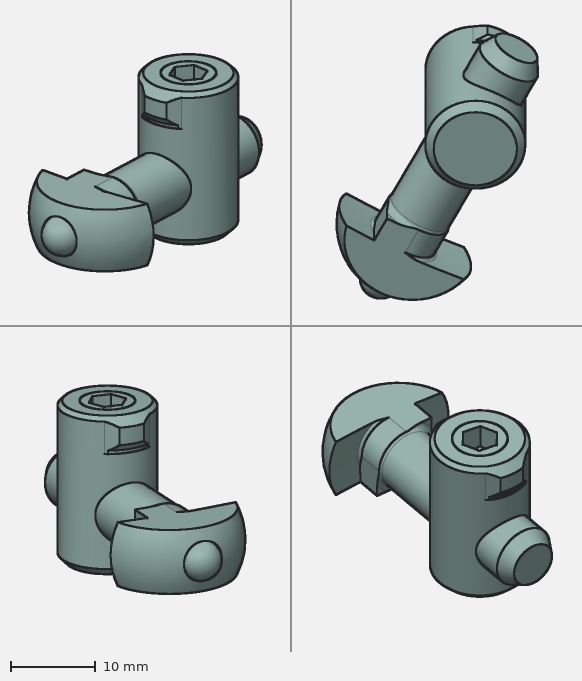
import cadquery as cq
import math


barrel_radius = 5.9
barrel_height = 20.0
barrel_bottom = -7.68
barrel_top = barrel_bottom + barrel_height
top_chamfer = 0.57
bottom_chamfer = 1.0

lug_radius = 6.5
lug_foot_radius = 6.0
lug_face_bottom = barrel_top - 3.36
lug_cone_bottom = barrel_top - 4.15
lug_bottom = barrel_top - 4.6
lug_face_half_width = 1.63
lug_base_half_width = 2.97

screw_radius = 3.25
screw_clearance = 0.05
hex_across_flats = 4.0
hex_turn = -8.0
hex_depth = 3.0
drill_point_angle = 118.0

overall_length = 37.13
shaft_radius = 3.88
shaft_end = 10.5
shaft_tip_radius = 2.79
shaft_tip_length = 1.92

neck_radius = 4.0
neck_start = -14.07
neck_flare_radius = 0.8
neck_depth_in_head = 1.0

head_thickness = 8.0
head_ball_radius = 8.97
head_rim_radius = 8.77
head_back = -17.92
dish_depth = 0.33
head_fillet = 0.4
head_centre = head_back + math.sqrt(head_ball_radius**2 - head_rim_radius**2)
head_front = head_centre - head_ball_radius

ball_radius = 2.5
ball_tip = shaft_end - overall_length
ball_centre = ball_tip + ball_radius


def y_cylinder(radius, y_start, y_end):
    """Cylinder on the anchor axis, from y_start down to y_end."""
    return cq.Workplane("XZ", origin=(0, y_start, 0)).circle(radius).extrude(y_start - y_end)


def turned_about_y(profile):
    """Full turn of a closed (radius, y) profile about the anchor axis."""
    return profile.close().revolve(360, (0, 0, 0), (0, 1, 0))


def make_lugs():
    """Pair of lugs: a stepped ring whose top carries on the barrel's 45 degree chamfer."""
    rim_radius = barrel_radius - top_chamfer
    face_top = barrel_top - (lug_radius - rim_radius)
    ring = (
        cq.Workplane("XZ")
        .moveTo(0, barrel_top)
        .lineTo(rim_radius, barrel_top)
        .lineTo(lug_radius, face_top)
        .lineTo(lug_radius, lug_face_bottom)
        .lineTo(lug_foot_radius, lug_cone_bottom)
        .lineTo(lug_foot_radius, lug_bottom)
        .lineTo(0, lug_bottom)
        .close()
        .revolve(360, (0, 0, 0), (0, 1, 0))
    )
    face_y = math.sqrt(lug_radius**2 - lug_face_half_width**2)
    base_y = math.sqrt(barrel_radius**2 - lug_base_half_width**2)
    half_outline = [
        (lug_base_half_width, base_y),
        (lug_face_half_width, face_y),
        (lug_face_half_width, lug_radius),
        (-lug_face_half_width, lug_radius),
        (-lug_face_half_width, face_y),
        (-lug_base_half_width, base_y),
    ]
    outline = half_outline + [(-x, -y) for x, y in half_outline]
    band = cq.Workplane("XY").workplane(offset=lug_bottom).polyline(outline).close()
    return ring.intersect(band.extrude(barrel_top - lug_bottom))


def make_barrel():
    body = (
        cq.Workplane("XY")
        .workplane(offset=barrel_bottom)
        .circle(barrel_radius)
        .extrude(barrel_height)
        .faces(">Z")
        .chamfer(top_chamfer)
        .faces("<Z")
        .chamfer(bottom_chamfer)
    )
    body = body.union(make_lugs())
    screw_hole = cq.Workplane("XY").circle(screw_radius + screw_clearance).extrude(barrel_top)
    cross_bore = y_cylinder(shaft_radius, lug_radius, -lug_radius)
    return body.cut(screw_hole).cut(cross_bore)


def make_set_screw():
    """Plain screw seated on the shaft, with a hex socket that ends in a drill point."""
    screw_length = barrel_top - shaft_radius
    body = cq.Workplane("XY").workplane(offset=shaft_radius).circle(screw_radius).extrude(screw_length)
    corner_radius = hex_across_flats / math.sqrt(3)
    point_depth = corner_radius / math.tan(math.radians(drill_point_angle / 2))
    socket_bottom = barrel_top - hex_depth - point_depth
    hex_prism = (
        cq.Workplane("XY")
        .workplane(offset=socket_bottom)
        .polygon(6, 2 * corner_radius)
        .extrude(barrel_top - socket_bottom)
        .rotate((0, 0, 0), (0, 0, 1), hex_turn)
    )
    pointed_drill = (
        cq.Workplane("XZ")
        .moveTo(0, socket_bottom)
        .lineTo(corner_radius, barrel_top - hex_depth)
        .lineTo(corner_radius, barrel_top)
        .lineTo(0, barrel_top)
        .close()
        .revolve(360, (0, 0, 0), (0, 1, 0))
    )
    return body.cut(hex_prism.intersect(pointed_drill))


def make_shaft():
    profile = (
        cq.Workplane("XY")
        .moveTo(0, shaft_end)
        .lineTo(shaft_tip_radius, shaft_end)
        .lineTo(shaft_radius, shaft_end - shaft_tip_length)
        .lineTo(shaft_radius, head_back)
        .lineTo(0, head_back)
    )
    return turned_about_y(profile)


def make_neck():
    """Round neck with two opposite square quadrants, flaring out of the shaft."""
    neck_end = head_back - neck_depth_in_head
    length = neck_start - neck_end
    neck = y_cylinder(neck_radius, neck_start, neck_end)
    for side in (-1, 1):
        quadrant = cq.Workplane("XY").box(neck_radius, length, neck_radius).translate(
            (side * neck_radius / 2, neck_start - length / 2, -side * neck_radius / 2)
        )
        neck = neck.union(quadrant)
    flare_end = neck_start - neck_flare_radius
    corner_radius = 2 * neck_radius
    envelope = (
        cq.Workplane("XY")
        .moveTo(0, neck_start)
        .lineTo(shaft_radius, neck_start)
        .radiusArc((shaft_radius + neck_flare_radius, flare_end), -neck_flare_radius)
        .lineTo(corner_radius, flare_end)
        .lineTo(corner_radius, neck_end)
        .lineTo(0, neck_end)
    )
    return neck.intersect(turned_about_y(envelope))


def make_head():
    """Ball slice with a shallow dished back and a fillet round the neck."""
    fillet_foot = head_back - dish_depth
    profile = (
        cq.Workplane("XY")
        .moveTo(0, head_back)
        .lineTo(neck_radius, head_back)
        .radiusArc((neck_radius + head_fillet, fillet_foot), -head_fillet)
        .lineTo(head_rim_radius, head_back)
        .radiusArc((0, head_front), head_ball_radius)
    )
    ball_width = 2 * head_ball_radius
    slab = cq.Workplane("XY", origin=(0, head_centre, 0)).box(ball_width, ball_width, head_thickness)
    return turned_about_y(profile).intersect(slab)


def make_ball():
    return cq.Workplane("XY").sphere(ball_radius).translate((0, ball_centre, 0))


def make_anchor():
    body = make_shaft().union(make_neck()).union(make_head())
    ball_bore = y_cylinder(ball_radius, ball_centre, ball_tip)
    return body.cut(ball_bore).cut(make_ball())


barrel = make_barrel()
set_screw = make_set_screw()
anchor = make_anchor()
ball = make_ball()

result = cq.Compound.makeCompound([barrel.val(), set_screw.val(), anchor.val(), ball.val()])